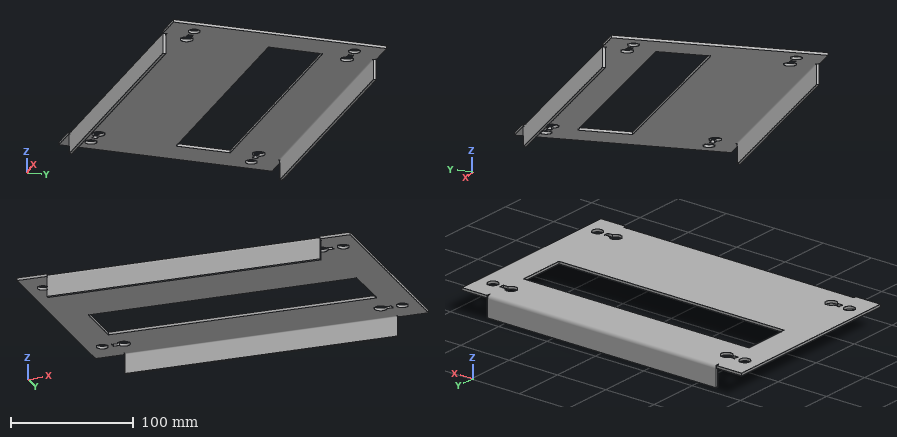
import cadquery as cq

length = 289.5
width = 183.5
height = 20.0
sheet = 2.5

flange_length = 236.8
inner_bend_radius = 1.0
outer_bend_radius = inner_bend_radius + sheet

window_length = 232.8
window_width = 46.3
window_y = 23.0

hole_x = 130.3
hole_y = 69.0
hole_diameter = 9.5
keyhole_x = 111.5
keyhole_diameter = 10.5
keyhole_slot_end_x = 121.3
keyhole_slot_width = 4.0

corner_signs = [(sx, sy) for sx in (-1, 1) for sy in (-1, 1)]


def make_channel():
    """Bent sheet section: a web with a flange down each long side, top at Z = 0."""
    outer = (
        cq.Workplane("XY")
        .box(flange_length, width, height, centered=(True, True, False))
        .translate((0, 0, -height))
        .edges("|X and >Z")
        .fillet(outer_bend_radius)
    )
    cavity = (
        cq.Workplane("XY")
        .box(flange_length, width - 2 * sheet, height - sheet, centered=(True, True, False))
        .translate((0, 0, -height))
        .edges("|X and >Z")
        .fillet(inner_bend_radius)
    )
    return outer.cut(cavity)


def make_end_panels():
    """Flat panels at both ends, beyond the flanges."""
    panel_length = (length - flange_length) / 2
    panel_x = (length - panel_length) / 2
    return (
        cq.Workplane("XY")
        .pushPoints([(-panel_x, 0), (panel_x, 0)])
        .rect(panel_length, width)
        .extrude(-sheet)
    )


def make_window():
    return (
        cq.Workplane("XY")
        .center(0, window_y)
        .rect(window_length, window_width)
        .extrude(-sheet)
    )


def corner_cylinders(x, diameter):
    """Through-hole cutters at one X distance, in all four corners."""
    return (
        cq.Workplane("XY")
        .pushPoints([(sx * x, sy * hole_y) for sx, sy in corner_signs])
        .circle(diameter / 2)
        .extrude(-sheet)
    )


def make_keyholes():
    """Round entry holes with narrow slots pointing to the plate's short ends."""
    slot_length = keyhole_slot_end_x - keyhole_x
    slot_x = keyhole_x + slot_length / 2
    slots = (
        cq.Workplane("XY")
        .pushPoints([(sx * slot_x, sy * hole_y) for sx, sy in corner_signs])
        .rect(slot_length, keyhole_slot_width)
        .extrude(-sheet)
    )
    return corner_cylinders(keyhole_x, keyhole_diameter).union(slots)


result = (
    make_channel()
    .union(make_end_panels())
    .cut(make_window())
    .cut(corner_cylinders(hole_x, hole_diameter))
    .cut(make_keyholes())
)